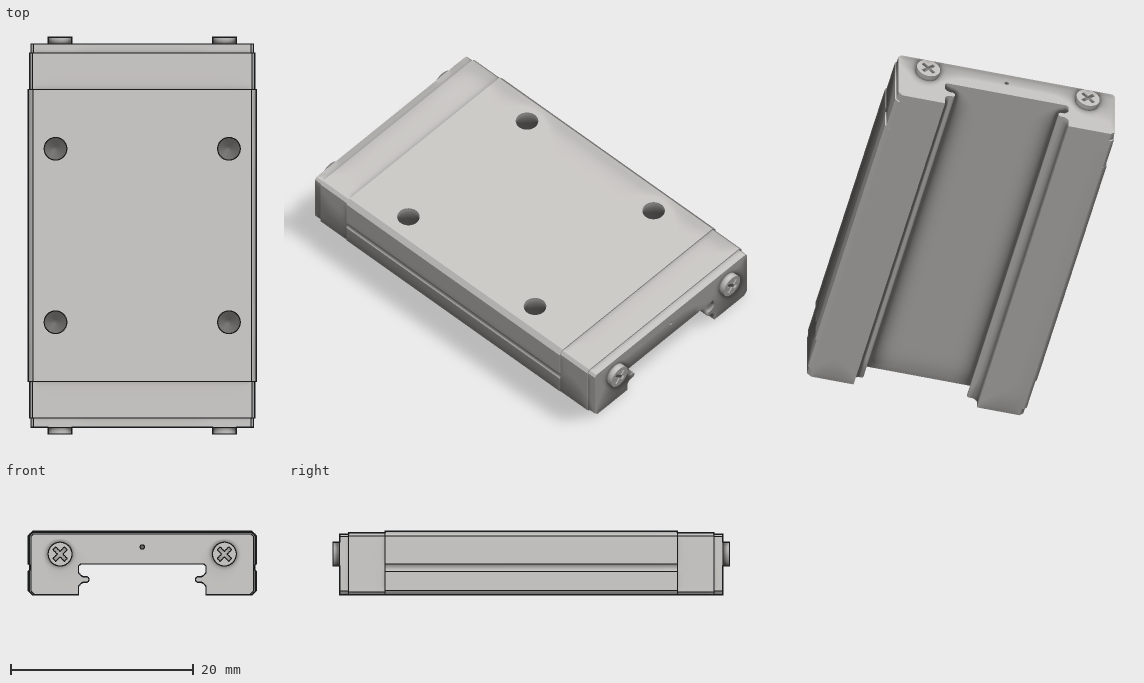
import cadquery as cq
import math

carriage_width = 25.0
carriage_top = 7.0
carriage_half_length = 16.0
carriage_top_chamfer = 0.52
carriage_bottom_chamfer = 0.5

side_step = 0.152
top_step = 0.17
end_body_width = carriage_width - 2 * side_step
end_body_top = carriage_top - top_step
end_body_half_length = 20.0
cap_width = end_body_width - 2 * side_step
cap_top = end_body_top - top_step
cap_half_length = 21.0
end_body_chamfer = 0.35
cap_top_chamfer = 0.25
cap_bottom_chamfer = 0.45

opening_half_width = 6.95
opening_height = 3.4
opening_corner_chamfer = 0.2
tooth_height = 1.7
tooth_tip_half_width = 5.85
tooth_shoulder_half_width = 6.05
tooth_shoulder_half_height = 0.3
tooth_neck_half_width = 6.45
tooth_root_half_height = 0.75
tooth_flank_bow = 0.065

groove_height = 3.0
groove_width = 0.83
groove_depth = 0.25

mount_hole_diameter = 2.5
mount_hole_spacing = 19.0
mount_hole_depth = 3.0
drill_point_angle = 118

screw_spacing = 18.0
screw_height = 4.5
screw_head_diameter = 2.6
screw_end = 21.75
cross_length = 1.8
cross_width = 0.45
cross_depth = 0.35
lube_hole_diameter = 0.5
lube_hole_height = 5.25
lube_hole_depth = cap_half_length - end_body_half_length


def section(width, top, half_length, top_chamfer, bottom_chamfer):
    """Block centred on the origin in X and Y, standing on Z = 0, with its long edges chamfered."""
    block = cq.Workplane("XY").box(width, 2 * half_length, top, centered=(True, True, False))
    block = block.faces(">Z").edges("|Y").chamfer(top_chamfer)
    return block.faces("<Z").edges("|Y").chamfer(bottom_chamfer)


def rail_tooth(side):
    """Tooth on the +X (side = 1) or -X (side = -1) wall: concave flanks, flat shoulders and a round tip."""
    flank_run = opening_half_width - tooth_neck_half_width
    flank_rise = tooth_root_half_height - tooth_shoulder_half_height
    flank_length = math.hypot(flank_run, flank_rise)
    flank_middle_x = (opening_half_width + tooth_neck_half_width) / 2
    flank_middle_rise = (tooth_root_half_height + tooth_shoulder_half_height) / 2
    dip_x = flank_middle_x + tooth_flank_bow * flank_rise / flank_length
    dip_rise = flank_middle_rise - tooth_flank_bow * flank_run / flank_length

    def point(x, rise):
        return (side * x, tooth_height + rise)

    outline = (
        cq.Workplane("XZ")
        .moveTo(*point(opening_half_width, -tooth_root_half_height))
        .threePointArc(
            point(dip_x, -dip_rise),
            point(tooth_neck_half_width, -tooth_shoulder_half_height),
        )
        .lineTo(*point(tooth_shoulder_half_width, -tooth_shoulder_half_height))
        .threePointArc(
            point(tooth_tip_half_width, 0),
            point(tooth_shoulder_half_width, tooth_shoulder_half_height),
        )
        .lineTo(*point(tooth_neck_half_width, tooth_shoulder_half_height))
        .threePointArc(
            point(dip_x, dip_rise),
            point(opening_half_width, tooth_root_half_height),
        )
        .close()
    )
    return outline.extrude(cap_half_length, both=True)


def rail_opening():
    """Full-length cutter for the rail opening, leaving the two teeth."""
    opening = cq.Workplane("XY").box(
        2 * opening_half_width, 2 * cap_half_length, opening_height, centered=(True, True, False)
    )
    opening = opening.faces(">Z").edges("|Y").chamfer(opening_corner_chamfer)
    return opening.cut(rail_tooth(1)).cut(rail_tooth(-1))


def side_groove(side):
    """Cutter for the groove on the +X (side = 1) or -X (side = -1) face."""
    radius = ((groove_width / 2) ** 2 + groove_depth ** 2) / (2 * groove_depth)
    centre_x = side * (carriage_width / 2 + radius - groove_depth)
    groove = cq.Workplane("XZ").center(centre_x, groove_height).circle(radius)
    return groove.extrude(carriage_half_length, both=True)


def mount_hole(x, y):
    """Cutter for one blind hole, drilled down from the carriage top."""
    radius = mount_hole_diameter / 2
    point_depth = radius / math.tan(math.radians(drill_point_angle / 2))
    profile = [
        (0, 0),
        (radius, 0),
        (radius, -mount_hole_depth),
        (0, -mount_hole_depth - point_depth),
    ]
    hole = cq.Workplane("XZ").polyline(profile).close().revolve(360, (0, 0), (0, 1))
    return hole.translate((x, y, carriage_top))


def end_plane(end, distance):
    """Plane facing outward from the -Y (end = -1) or +Y (end = 1) end, with its own up along Z."""
    return cq.Workplane(cq.Plane((0, end * distance, 0), xDir=(-end, 0, 0), normal=(0, end, 0)))


def add_end_details(body, end):
    """Add the two cross-recessed screw heads and the lubrication hole to one end."""
    screw_places = [(-screw_spacing / 2, screw_height), (screw_spacing / 2, screw_height)]
    heads = (
        end_plane(end, cap_half_length)
        .pushPoints(screw_places)
        .circle(screw_head_diameter / 2)
        .extrude(screw_end - cap_half_length)
    )
    body = body.union(heads)
    for angle in (45, -45):
        slots = (
            end_plane(end, screw_end)
            .pushPoints(screw_places)
            .sketch()
            .rect(cross_length, cross_width, angle=angle)
            .finalize()
            .extrude(-cross_depth)
        )
        body = body.cut(slots)
    lube_hole = (
        end_plane(end, cap_half_length)
        .center(0, lube_hole_height)
        .circle(lube_hole_diameter / 2)
        .extrude(-lube_hole_depth)
    )
    return body.cut(lube_hole)


carriage = section(
    carriage_width, carriage_top, carriage_half_length, carriage_top_chamfer, carriage_bottom_chamfer
)
end_bodies = section(
    end_body_width, end_body_top, end_body_half_length, end_body_chamfer, end_body_chamfer
)
caps = section(cap_width, cap_top, cap_half_length, cap_top_chamfer, cap_bottom_chamfer)
result = carriage.union(end_bodies).union(caps)
result = result.cut(rail_opening())

for side in (-1, 1):
    result = result.cut(side_groove(side))

for x_side in (-1, 1):
    for y_side in (-1, 1):
        result = result.cut(mount_hole(x_side * mount_hole_spacing / 2, y_side * mount_hole_spacing / 2))

for end in (-1, 1):
    result = add_end_details(result, end)